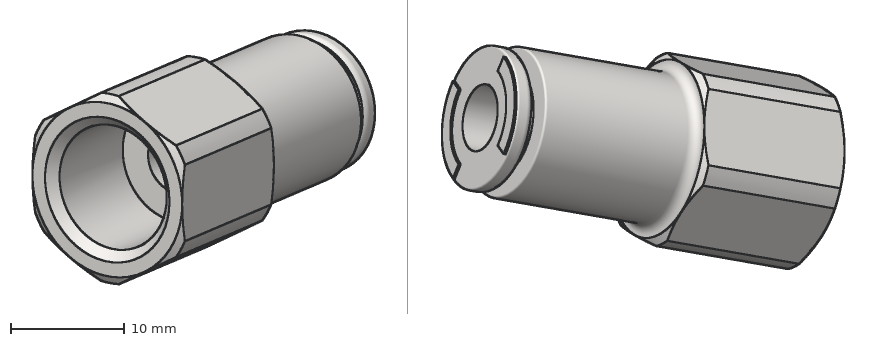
import cadquery as cq
import math


overall_length = 33.05
pad_height = 0.2
ring_end = overall_length - pad_height
sleeve_end = 30.17
hex_end = 14.5

hex_across_flats = 16.0
hex_across_corners = 17.48
hex_chamfer_angle = 30.0
sleeve_radius = 6.8
sleeve_end_fillet = 0.2
shoulder_fillet = 0.93
port_radius = 5.72
port_mouth_radius = 6.65
port_depth = 10.9

tube_radius = 3.0

flange_radius = 6.5
flange_thickness = 1.6
flange_end_fillet = 0.2
flange_back_fillet = 0.63
flange_back_sweep = 52.0
flange_back_bevel = 0.1
neck_radius = 4.73
neck_fillet = 0.2
neck_insertion = 3.95

pad_inner_radius = 4.8
pad_outer_radius = 6.25
pad_half_angle = 46.0

hex_corner_radius = hex_across_corners / 2
hex_chamfer_run = (hex_across_corners - hex_across_flats) / 2
hex_chamfer_rise = hex_chamfer_run * math.tan(math.radians(hex_chamfer_angle))
port_mouth_chamfer = port_mouth_radius - port_radius
flange_back = ring_end - flange_thickness
neck_bottom = sleeve_end - neck_insertion

arc_middle_share = math.sqrt(0.5)


def polar(radius, degrees):
    """Point at a radius and angle from a centre."""
    angle = math.radians(degrees)
    return (radius * math.cos(angle), radius * math.sin(angle))


def revolve_about_y(profile):
    """Full turn of a closed (radius, Y) profile about the Y axis."""
    return profile.close().revolve(360, (0, 0, 0), (0, 1, 0))


def cylinder(radius, start, end):
    """Round bar along Y between two places."""
    return revolve_about_y(
        cq.Workplane("XY").moveTo(0, start).lineTo(radius, start).lineTo(radius, end).lineTo(0, end)
    )


def make_hex_end():
    """Hexagon with flats facing +X and -X, its corners turned round and chamfered at both ends."""
    half_side_angle = 30
    sharp_corner_diameter = hex_across_flats / math.cos(math.radians(half_side_angle))
    hexagon = (
        cq.Workplane("XZ")
        .transformed(rotate=(0, 0, half_side_angle))
        .polygon(6, sharp_corner_diameter)
        .extrude(-hex_end)
    )
    end_radius = hex_across_flats / 2
    turned_bar = revolve_about_y(
        cq.Workplane("XY")
        .lineTo(end_radius, 0)
        .lineTo(hex_corner_radius, hex_chamfer_rise)
        .lineTo(hex_corner_radius, hex_end - hex_chamfer_rise)
        .lineTo(end_radius, hex_end)
        .lineTo(0, hex_end)
    )
    return hexagon.intersect(turned_bar)


def make_sleeve():
    """Round sleeve running through the hexagon, with a concave fillet where it leaves the hexagon."""
    fillet_centre = (sleeve_radius + shoulder_fillet, hex_end + shoulder_fillet)
    middle_offset = shoulder_fillet * arc_middle_share
    fillet_middle = (fillet_centre[0] - middle_offset, fillet_centre[1] - middle_offset)
    blank = revolve_about_y(
        cq.Workplane("XY")
        .lineTo(sleeve_radius, 0)
        .lineTo(sleeve_radius, hex_end)
        .lineTo(fillet_centre[0], hex_end)
        .threePointArc(fillet_middle, (sleeve_radius, fillet_centre[1]))
        .lineTo(sleeve_radius, sleeve_end)
        .lineTo(0, sleeve_end)
    )
    return blank.faces(">Y").edges().fillet(sleeve_end_fillet)


def make_port():
    """Bore for the threaded port with a 45 degree chamfer at its mouth."""
    return revolve_about_y(
        cq.Workplane("XY")
        .lineTo(port_mouth_radius, 0)
        .lineTo(port_radius, port_mouth_chamfer)
        .lineTo(port_radius, port_depth)
        .lineTo(0, port_depth)
    )


def make_housing():
    """Hex end and sleeve in one piece, bored for the port, the tube and the ring's neck."""
    body = make_hex_end().union(make_sleeve())
    body = body.cut(make_port())
    body = body.cut(cylinder(tube_radius, 0, sleeve_end))
    return body.cut(cylinder(neck_radius, neck_bottom, sleeve_end))


def make_pads():
    """Two raised arc-shaped pads on opposite sides of the ring's end face."""
    pads = cq.Workplane("XY")
    for facing in (0, 180):
        first = facing - pad_half_angle
        last = facing + pad_half_angle
        pad = (
            cq.Workplane("XZ", origin=(0, ring_end, 0))
            .moveTo(*polar(pad_inner_radius, first))
            .lineTo(*polar(pad_outer_radius, first))
            .threePointArc(polar(pad_outer_radius, facing), polar(pad_outer_radius, last))
            .lineTo(*polar(pad_inner_radius, last))
            .threePointArc(polar(pad_inner_radius, facing), polar(pad_inner_radius, first))
            .close()
            .extrude(-pad_height)
        )
        pads = pads.add(pad)
    return pads


def make_release_ring():
    """Flanged ring whose neck slides into the housing."""
    arc_centre_radius = flange_radius - flange_back_fillet
    arc_end_offset = polar(flange_back_fillet, flange_back_sweep)
    arc_middle_offset = polar(flange_back_fillet, flange_back_sweep / 2)
    arc_start = flange_back + flange_back_bevel + arc_end_offset[1]
    arc_middle = (arc_centre_radius + arc_middle_offset[0], arc_start - arc_middle_offset[1])
    arc_end = (arc_centre_radius + arc_end_offset[0], arc_start - arc_end_offset[1])

    rim_inset = flange_end_fillet * (1 - arc_middle_share)
    neck_inset = neck_fillet * (1 - arc_middle_share)

    ring = revolve_about_y(
        cq.Workplane("XY")
        .moveTo(tube_radius, neck_bottom)
        .lineTo(neck_radius, neck_bottom)
        .lineTo(neck_radius, flange_back - neck_fillet)
        .threePointArc(
            (neck_radius + neck_inset, flange_back - neck_inset),
            (neck_radius + neck_fillet, flange_back),
        )
        .lineTo(arc_end[0] - flange_back_bevel, flange_back)
        .lineTo(*arc_end)
        .threePointArc(arc_middle, (flange_radius, arc_start))
        .lineTo(flange_radius, ring_end - flange_end_fillet)
        .threePointArc(
            (flange_radius - rim_inset, ring_end - rim_inset),
            (flange_radius - flange_end_fillet, ring_end),
        )
        .lineTo(tube_radius, ring_end)
    )
    return ring.union(make_pads())


housing = make_housing()
release_ring = make_release_ring()

result = cq.Compound.makeCompound([housing.solids().val(), release_ring.solids().val()])